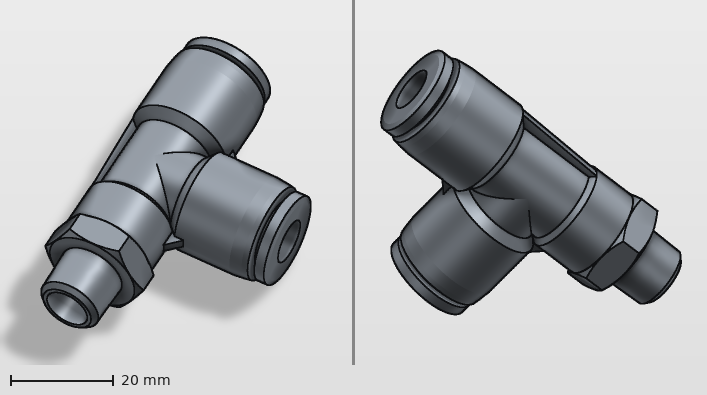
import cadquery as cq
import math

TOTAL_LENGTH = 65.05
TUBE_PORT_LENGTH = 30.1
BRANCH_Y = TOTAL_LENGTH - TUBE_PORT_LENGTH

BODY_RADIUS = 10.4
NECK_RADIUS = 8.4
NECK_END = 8.3
BODY_START = NECK_END + BODY_RADIUS - NECK_RADIUS
BODY_TAPER_START = 22.6
BODY_RIM_START = 25.1
BODY_RIM_RADIUS = 10.15
BODY_END = 26.35
BODY_END_RADIUS = 9.95
SLEEVE_RADIUS = 7.0
SLEEVE_FLANGE_START = 27.6
SLEEVE_FLANGE_RADIUS = 9.5
FLANGE_CHAMFER_LENGTH = 0.4
FLANGE_END_RADIUS = 8.25

COLLAR_RADIUS = 9.5
COLLAR_END = 25.4
COLLAR_CHAMFER = COLLAR_RADIUS - NECK_RADIUS
HEX_CORNER_RADIUS = COLLAR_RADIUS / math.cos(math.pi / 6)
HEX_START = 10.1
HEX_END = 16.0
HEX_FACE_RADIUS = 9.4
HEX_CHAMFER_RISE = 0.9
THREAD_BASE_RADIUS = 6.65
THREAD_TIP_RADIUS = 6.4
THREAD_CHAMFER = 1.05
BORE_RADIUS = 4.5

RIB_THICKNESS = 2.1
UPPER_RIB_LEG = 2.7
LOWER_RIB_LEG = 2.8


def bore(length):
    """Bore cylinder running from the origin along +Y."""
    return cq.Workplane("XZ").circle(BORE_RADIUS).extrude(-length)


def tube_port():
    """Neck, body and release sleeve turned about Y, starting at the axis crossing."""
    profile = [
        (0, 0),
        (NECK_RADIUS, 0),
        (NECK_RADIUS, NECK_END),
        (BODY_RADIUS, BODY_START),
        (BODY_RADIUS, BODY_TAPER_START),
        (BODY_RIM_RADIUS, BODY_RIM_START),
        (BODY_END_RADIUS, BODY_END),
        (SLEEVE_RADIUS, BODY_END),
        (SLEEVE_RADIUS, SLEEVE_FLANGE_START),
        (SLEEVE_FLANGE_RADIUS, SLEEVE_FLANGE_START),
        (SLEEVE_FLANGE_RADIUS, TUBE_PORT_LENGTH - FLANGE_CHAMFER_LENGTH),
        (FLANGE_END_RADIUS, TUBE_PORT_LENGTH),
        (0, TUBE_PORT_LENGTH),
    ]
    return cq.Workplane("XY").polyline(profile).close().revolve(360, (0, 0, 0), (0, 1, 0))


def threaded_end():
    """Tapered thread, collar and lower neck turned about Y."""
    profile = [
        (0, 0),
        (THREAD_TIP_RADIUS - THREAD_CHAMFER, 0),
        (THREAD_TIP_RADIUS, THREAD_CHAMFER),
        (THREAD_BASE_RADIUS, HEX_START),
        (THREAD_BASE_RADIUS, HEX_END),
        (COLLAR_RADIUS, HEX_END),
        (COLLAR_RADIUS, COLLAR_END),
        (NECK_RADIUS, COLLAR_END + COLLAR_CHAMFER),
        (NECK_RADIUS, BRANCH_Y),
        (0, BRANCH_Y),
    ]
    return cq.Workplane("XY").polyline(profile).close().revolve(360, (0, 0, 0), (0, 1, 0))


def hexagon():
    """Hexagon with corners on X and conically chamfered corners at both faces."""
    prism = (
        cq.Workplane("XZ", origin=(0, HEX_START, 0))
        .polygon(6, 2 * HEX_CORNER_RADIUS)
        .extrude(HEX_START - HEX_END)
    )
    chamfer_body = [
        (0, HEX_START),
        (HEX_FACE_RADIUS, HEX_START),
        (HEX_CORNER_RADIUS, HEX_START + HEX_CHAMFER_RISE),
        (HEX_CORNER_RADIUS, HEX_END - HEX_CHAMFER_RISE),
        (HEX_FACE_RADIUS, HEX_END),
        (0, HEX_END),
    ]
    cone = cq.Workplane("XY").polyline(chamfer_body).close().revolve(360, (0, 0, 0), (0, 1, 0))
    return prism.intersect(cone)


def rib(points):
    return cq.Workplane("XY").polyline(points).close().extrude(RIB_THICKNESS / 2, both=True)


def ribs():
    """Back rib along the neck and two gussets beside the branch."""
    body_bottom = BRANCH_Y + BODY_START
    branch_top = BRANCH_Y + BODY_RADIUS
    branch_bottom = BRANCH_Y - BODY_RADIUS
    back = rib([
        (0, COLLAR_END),
        (-COLLAR_RADIUS, COLLAR_END),
        (-BODY_RADIUS, body_bottom),
        (0, body_bottom),
    ])
    upper = rib([
        (0, BRANCH_Y),
        (BODY_RADIUS + UPPER_RIB_LEG, BRANCH_Y),
        (BODY_RADIUS + UPPER_RIB_LEG, branch_top),
        (BODY_RADIUS, branch_top + UPPER_RIB_LEG),
        (0, branch_top + UPPER_RIB_LEG),
    ])
    lower = rib([
        (0, BRANCH_Y),
        (COLLAR_RADIUS + LOWER_RIB_LEG, BRANCH_Y),
        (COLLAR_RADIUS + LOWER_RIB_LEG, branch_bottom),
        (COLLAR_RADIUS, branch_bottom - LOWER_RIB_LEG),
        (0, branch_bottom - LOWER_RIB_LEG),
    ])
    return back.union(upper).union(lower)


def to_branch(shape):
    """Turn a shape from +Y at the origin to +X on the branch axis."""
    return shape.rotate((0, 0, 0), (0, 0, 1), -90).translate((0, BRANCH_Y, 0))


main_port = tube_port().translate((0, BRANCH_Y, 0))
body = threaded_end().union(main_port).union(to_branch(tube_port()))
body = body.union(hexagon()).union(ribs())

main_bore = bore(TOTAL_LENGTH)
branch_bore = to_branch(bore(TUBE_PORT_LENGTH))
result = body.cut(main_bore).cut(branch_bore)